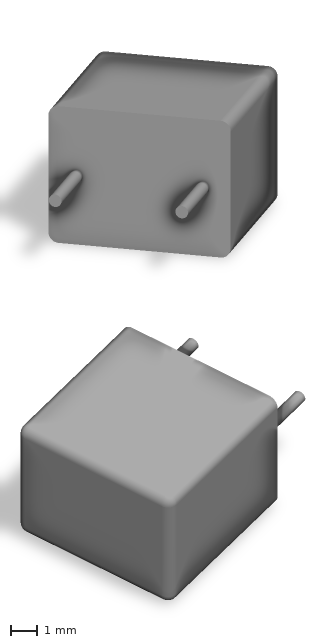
import cadquery as cq

body_width = 7.2
body_depth = 7.0
body_height = 5.5
edge_radius = 0.4

total_depth = 10.0
lead_length = total_depth - body_depth
lead_diameter = 0.5
lead_pitch = 5.0


def make_body():
    """Box rounded on every edge except those around the lead face."""
    box = cq.Workplane("XY").box(
        body_width, body_depth, body_height, centered=(True, False, True)
    )
    return box.edges("|Y or >Y").fillet(edge_radius)


def make_leads():
    """Pair of leads, centred on the height of the lead face."""
    return (
        cq.Workplane("XZ")
        .pushPoints([(-lead_pitch / 2, 0), (lead_pitch / 2, 0)])
        .circle(lead_diameter / 2)
        .extrude(lead_length)
    )


result = make_body().union(make_leads())